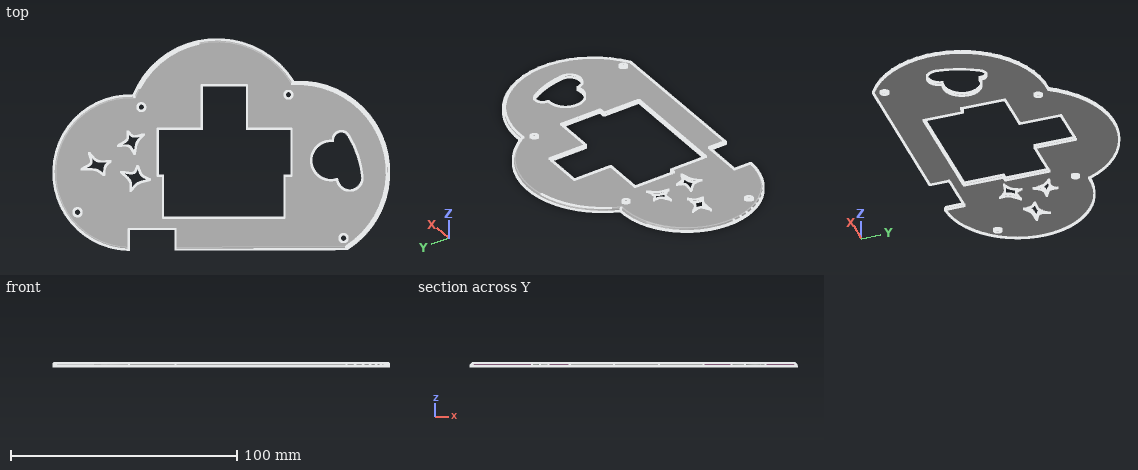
import cadquery as cq
import math

THICKNESS = 1.5
RIM_FILLET = 1.0

LEFT_LOBE = (34.2, 34.2, 34.2)
TOP_LOBE = (72.3, 53.3, 39.8)
RIGHT_LOBE = (108.4, 34.3, 40.1)
BASE_RIGHT_Y = 0.3

WINDOW_LOW = (48.5, 102.2, 14.3, 32.8)
WINDOW_MID = (46.2, 105.3, WINDOW_LOW[3], 53.5)
WINDOW_TOP = (65.6, 85.5, WINDOW_MID[3], 72.8)

NOTCH_LEFT = 33.4
NOTCH_RIGHT = 53.9
NOTCH_TOP = 9.2

SCREW_HOLES = [
    (38.9, 63.1, 3.3),
    (104.0, 68.6, 3.3),
    (10.7, 16.6, 3.4),
    (128.3, 5.2, 3.4),
]

STARS = [
    [
        ((32.8, 52.5), (35.2, 49.6)),
        ((40.1, 51.1), (36.7, 47.8)),
        ((36.0, 42.5), (33.7, 46.5)),
        ((28.7, 46.0), (33.3, 48.5)),
    ],
    [
        ((15.7, 42.9), (19.2, 38.8)),
        ((25.2, 39.2), (22.6, 37.0)),
        ((22.5, 33.1), (19.0, 35.8)),
        ((12.5, 35.6), (17.5, 38.2)),
    ],
    [
        ((37.3, 37.1), (38.8, 32.7)),
        ((42.8, 31.0), (37.3, 29.9)),
        ((34.2, 26.1), (34.6, 30.3)),
        ((30.0, 34.5), (36.0, 33.4)),
    ],
]

SMALL_CLOUD = [
    ((123.7, 48.1), (127.1, 52.5)),
    ((130.5, 50.5), (134.9, 41.0)),
    ((136.6, 32.1), (131.0, 26.3)),
    ((125.5, 31.3), (114.0, 39.5)),
]


def upper_crossing(lobe_a, lobe_b):
    """Upper of the two points where the circles of two lobes cross (lobe_a left of lobe_b)."""
    ax, ay, ar = lobe_a
    bx, by, br = lobe_b
    distance = math.hypot(bx - ax, by - ay)
    along = (distance**2 + ar**2 - br**2) / (2 * distance)
    aside = math.sqrt(ar**2 - along**2)
    ux = (bx - ax) / distance
    uy = (by - ay) / distance
    return (ax + along * ux - aside * uy, ay + along * uy + aside * ux)


def cloud_plate():
    """Plate with the three-lobed outline and a rounded upper rim."""
    left_x, left_y, left_r = LEFT_LOBE
    top_x, top_y, top_r = TOP_LOBE
    right_x, right_y, right_r = RIGHT_LOBE
    base_right_x = right_x + math.sqrt(right_r**2 - (right_y - BASE_RIGHT_Y) ** 2)
    plate = (
        cq.Workplane("XY")
        .moveTo(left_x, left_y - left_r)
        .threePointArc((left_x - left_r, left_y), upper_crossing(LEFT_LOBE, TOP_LOBE))
        .threePointArc((top_x, top_y + top_r), upper_crossing(TOP_LOBE, RIGHT_LOBE))
        .threePointArc((right_x + right_r, right_y), (base_right_x, BASE_RIGHT_Y))
        .close()
        .extrude(THICKNESS)
    )
    return plate.faces(">Z").edges().fillet(RIM_FILLET)


def box_cutter(x_min, x_max, y_min, y_max):
    return (
        cq.Workplane("XY")
        .moveTo((x_min + x_max) / 2, (y_min + y_max) / 2)
        .rect(x_max - x_min, y_max - y_min)
        .extrude(THICKNESS)
    )


def loop_steps(pairs):
    """Yield (shaping point, end corner) for each side of a closed loop of (corner, shaping point) pairs."""
    for index, (_, shaping_point) in enumerate(pairs):
        end_corner = pairs[(index + 1) % len(pairs)][0]
        yield shaping_point, end_corner


def star_cutter(tips_and_hollows):
    """Star with sharp tips; each concave side is a Bezier curve pulled twice to its hollow."""
    first_tip = tips_and_hollows[0][0]
    outline = cq.Workplane("XY").moveTo(*first_tip)
    for hollow, next_tip in loop_steps(tips_and_hollows):
        outline = outline.bezier([hollow, hollow, next_tip], includeCurrent=True)
    return outline.close().extrude(THICKNESS)


def small_cloud_cutter():
    first_corner = SMALL_CLOUD[0][0]
    outline = cq.Workplane("XY").moveTo(*first_corner)
    for arc_point, next_corner in loop_steps(SMALL_CLOUD):
        outline = outline.threePointArc(arc_point, next_corner)
    return outline.close().extrude(THICKNESS)


result = cloud_plate()

for window in (WINDOW_LOW, WINDOW_MID, WINDOW_TOP):
    result = result.cut(box_cutter(*window))

result = result.cut(box_cutter(NOTCH_LEFT, NOTCH_RIGHT, -NOTCH_TOP, NOTCH_TOP))

for x, y, diameter in SCREW_HOLES:
    result = result.cut(cq.Workplane("XY").moveTo(x, y).circle(diameter / 2).extrude(THICKNESS))

for star in STARS:
    result = result.cut(star_cutter(star))

result = result.cut(small_cloud_cutter())